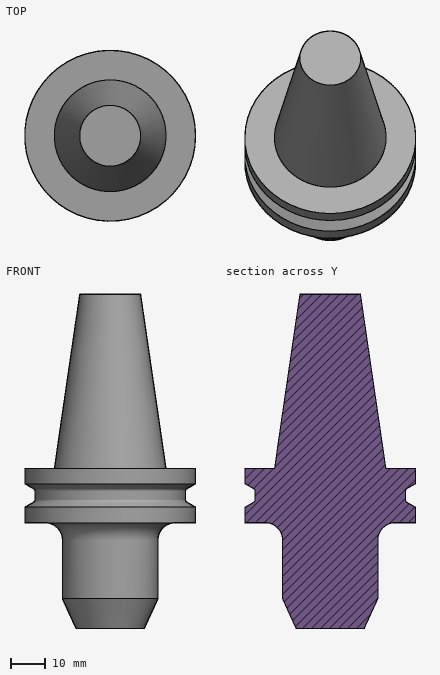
import cadquery as cq
import math

total_length = 97.8
taper_length = 47.8
gauge_diameter = 31.75
taper_ratio = 7 / 24
gauge_to_flange = 3.2

flange_diameter = 50.0
flange_height = 15.9
groove_diameter = 44.05
groove_mouth = 6.85
gauge_to_groove = 11.1
groove_wall_angle = 30.0
groove_floor_fillet = 0.8

nose_diameter = 28.0
nose_fillet = 5.0
tip_diameter = 20.0
tip_cone_height = 8.75

taper_top_z = taper_length
flange_top_z = -gauge_to_flange
flange_bottom_z = flange_top_z - flange_height
tip_z = taper_length - total_length
tip_cone_top_z = tip_z + tip_cone_height
groove_center_z = -gauge_to_groove

taper_top_radius = (gauge_diameter - taper_ratio * taper_length) / 2
taper_base_radius = (gauge_diameter + taper_ratio * gauge_to_flange) / 2
flange_radius = flange_diameter / 2
groove_radius = groove_diameter / 2
nose_radius = nose_diameter / 2
tip_radius = tip_diameter / 2


def revolve_about_z(profile):
    """Turn a closed half profile, drawn as (radius, z), about the Z axis."""
    return profile.close().revolve(360, (0, 0, 0), (0, 1, 0))


def make_body():
    """Taper shank, plain flange and nose as one turned solid."""
    profile = (
        cq.Workplane("XZ")
        .moveTo(0, tip_z)
        .lineTo(tip_radius, tip_z)
        .lineTo(nose_radius, tip_cone_top_z)
        .lineTo(nose_radius, flange_bottom_z - nose_fillet)
        .radiusArc((nose_radius + nose_fillet, flange_bottom_z), nose_fillet)
        .lineTo(flange_radius, flange_bottom_z)
        .lineTo(flange_radius, flange_top_z)
        .lineTo(taper_base_radius, flange_top_z)
        .lineTo(taper_top_radius, taper_top_z)
        .lineTo(0, taper_top_z)
    )
    return revolve_about_z(profile)


def make_groove_cutter():
    """V-walled ring with a flat floor whose corners are rounded."""
    wall_slope = math.tan(math.radians(groove_wall_angle))
    mouth_half = groove_mouth / 2
    floor_half = mouth_half - (flange_radius - groove_radius) * wall_slope

    fillet_turn = math.radians(90 - groove_wall_angle)
    tangent_length = groove_floor_fillet * math.tan(fillet_turn / 2)
    wall_tangent_radius = groove_radius + tangent_length * math.sin(fillet_turn)
    wall_tangent_half = floor_half + tangent_length * math.cos(fillet_turn)
    floor_tangent_half = floor_half - tangent_length

    profile = (
        cq.Workplane("XZ")
        .moveTo(flange_radius, groove_center_z + mouth_half)
        .lineTo(wall_tangent_radius, groove_center_z + wall_tangent_half)
        .radiusArc((groove_radius, groove_center_z + floor_tangent_half), -groove_floor_fillet)
        .lineTo(groove_radius, groove_center_z - floor_tangent_half)
        .radiusArc((wall_tangent_radius, groove_center_z - wall_tangent_half), -groove_floor_fillet)
        .lineTo(flange_radius, groove_center_z - mouth_half)
    )
    return revolve_about_z(profile)


result = make_body().cut(make_groove_cutter())